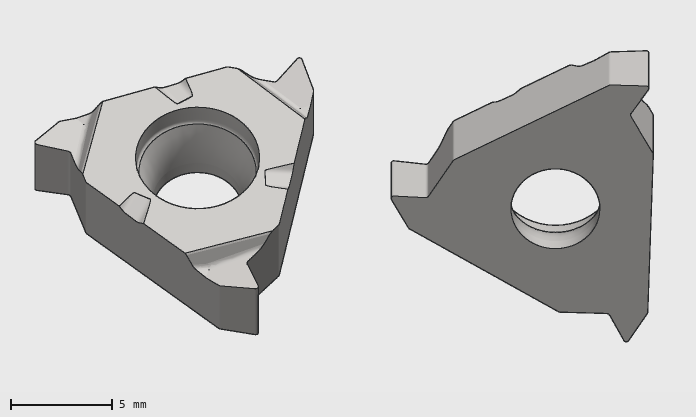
import cadquery as cq
import math

TEETH = 3
PITCH_ANGLE = 360 / TEETH
THICKNESS = 4.38

SIDE_DISTANCE = 4.75
SHOULDER_DISTANCE = 5.7
FLANK_DISTANCE = 6.91
TIP_REACH = 7.23
TIP_RADIUS = 0.14
ROOT_RADIUS = 0.18
CORNER_RADIUS = 0.23
OUTER_FLANK_ANGLE = math.radians(30)
INNER_FLANK_ANGLE = math.radians(28.5)

BORE_RADIUS = 4.4 / 2
SEAT_RADIUS = 3.07
SEAT_LOWER_RADIUS = 3.01
SEAT_DEPTH = 1.0
BELL_RADIUS = 2.9
BELL_START_DEPTH = 1.2
BELL_END_DEPTH = 3.58

VALLEY_Y = -1.45
GROOVE_START_X = 5.29
CHAMFER_WIDTH = 0.1
CHAMFER_DEPTH = 0.08
WALL_WIDTH = 0.38
WALL_DROP = 0.61
GROOVE_RADIUS = 0.31
RAKE_SLOPE = 0.125
FACET_SLOPE = -0.04
RAKE_RISE = 0.08
FACET_RISE = -0.16
WALL_YAW = 0.024
GROOVE_END_X = 9.19
GROOVE_HALF_LENGTH = 5.65
CLEARANCE = 1.41

DENT_FLOOR_WIDTH = 0.9
DENT_FLARE = 1.3
DENT_FLOOR_RADIUS = 0.48
DENT_YAW = 14.0
DENT_PITCH = 10.0
DENT_END = (-3.52, 0.54)
DENT_END_DEPTH = 0.03
DENT_LENGTH = 1.98


def rotate_point(point, angle):
    x, y = point
    c = math.cos(math.radians(angle))
    s = math.sin(math.radians(angle))
    return (x * c - y * s, x * s + y * c)


def repeat_around_bore(solid):
    """Copies of a cutter, one for each tooth."""
    return [solid.rotate((0, 0, 0), (0, 0, 1), i * PITCH_ANGLE) for i in range(TEETH)]


def make_body():
    tip_y = TIP_RADIUS - TIP_REACH
    outer_sin, outer_cos = math.sin(OUTER_FLANK_ANGLE), math.cos(OUTER_FLANK_ANGLE)
    inner_sin, inner_cos = math.sin(INNER_FLANK_ANGLE), math.cos(INNER_FLANK_ANGLE)
    tip_x = (TIP_RADIUS - FLANK_DISTANCE - tip_y * outer_sin) / outer_cos
    inner_distance = tip_x * inner_cos - tip_y * inner_sin + TIP_RADIUS

    apex_y = -(FLANK_DISTANCE * inner_cos + inner_distance * outer_cos) / math.sin(
        OUTER_FLANK_ANGLE + INNER_FLANK_ANGLE
    )
    apex_x = (inner_distance + apex_y * inner_sin) / inner_cos
    heel = (-SIDE_DISTANCE, (SIDE_DISTANCE * outer_cos - FLANK_DISTANCE) / outer_sin)
    apex = (apex_x, apex_y)
    root = ((inner_distance - SHOULDER_DISTANCE * inner_sin) / inner_cos, -SHOULDER_DISTANCE)
    next_side = math.radians(180 + PITCH_ANGLE)
    shoulder_x = (SIDE_DISTANCE + SHOULDER_DISTANCE * math.sin(next_side)) / math.cos(next_side)
    shoulder = (shoulder_x, -SHOULDER_DISTANCE)

    corners = [(heel, CORNER_RADIUS), (apex, TIP_RADIUS), (root, ROOT_RADIUS), (shoulder, CORNER_RADIUS)]
    outline = [
        rotate_point(point, i * PITCH_ANGLE) for i in range(TEETH) for point, _ in corners
    ]
    body = cq.Workplane("XY").polyline(outline).close().extrude(THICKNESS)
    for point, radius in corners:
        for i in range(TEETH):
            x, y = rotate_point(point, i * PITCH_ANGLE)
            edge = cq.selectors.NearestToPointSelector((x, y, THICKNESS / 2))
            body = body.edges("|Z").edges(edge).fillet(radius)
    return body


def make_bore():
    seat_z = THICKNESS - SEAT_DEPTH
    bell_top_z = THICKNESS - BELL_START_DEPTH
    bell_bottom_z = THICKNESS - BELL_END_DEPTH
    bell_profile = (
        cq.Workplane("XZ")
        .moveTo(0, 0)
        .lineTo(BORE_RADIUS, 0)
        .lineTo(BORE_RADIUS, bell_bottom_z)
        .tangentArcPoint((BELL_RADIUS, bell_top_z), relative=False)
        .lineTo(0, bell_top_z)
        .close()
    )
    seat_profile = (
        cq.Workplane("XZ")
        .moveTo(0, THICKNESS)
        .lineTo(SEAT_RADIUS, THICKNESS)
        .lineTo(SEAT_LOWER_RADIUS, seat_z)
        .tangentArcPoint((BELL_RADIUS, bell_top_z), relative=False)
        .lineTo(0, bell_top_z)
        .close()
    )
    bell = bell_profile.revolve(360, (0, 0, 0), (0, 1, 0))
    seat = seat_profile.revolve(360, (0, 0, 0), (0, 1, 0))
    return bell.union(seat)


def sweep_along(face, direction):
    """Extrude a groove section equally to both sides of the valley."""
    half = direction * GROOVE_HALF_LENGTH
    section = face.wires().val().translate(half * -1)
    return cq.Workplane(cq.Solid.extrudeLinear(section, [], half * 2))


def make_groove_run(floor_slope, rise):
    """One straight run of the groove, tilted along its length but always following the wall plane."""
    wall_angle = math.atan2(WALL_DROP, WALL_WIDTH)
    floor_angle = math.atan(floor_slope)
    wall_end = (
        GROOVE_START_X + CHAMFER_WIDTH + WALL_WIDTH,
        THICKNESS - CHAMFER_DEPTH - WALL_DROP,
    )
    arc_end = (
        wall_end[0] + GROOVE_RADIUS * (math.sin(wall_angle) + math.sin(floor_angle)),
        wall_end[1] + GROOVE_RADIUS * (math.cos(wall_angle) - math.cos(floor_angle)),
    )
    floor_end_z = arc_end[1] + (GROOVE_END_X - arc_end[0]) * floor_slope
    top_z = THICKNESS + CLEARANCE
    wall_reach = (top_z - wall_end[1]) * WALL_WIDTH / WALL_DROP

    drift = WALL_YAW - rise * WALL_WIDTH / WALL_DROP
    face = (
        cq.Workplane("XZ", origin=(0, VALLEY_Y, 0))
        .moveTo(wall_end[0] - wall_reach, top_z)
        .lineTo(*wall_end)
        .tangentArcPoint(arc_end, relative=False)
        .lineTo(GROOVE_END_X, floor_end_z)
        .lineTo(GROOVE_END_X, top_z)
        .close()
    )
    return sweep_along(face, cq.Vector(drift, 1, rise))


def make_groove_chamfer():
    """Even bevel along the top edge of the groove wall."""
    top_z = THICKNESS + CLEARANCE
    chamfer_reach = CLEARANCE * CHAMFER_WIDTH / CHAMFER_DEPTH
    chamfer_end = (GROOVE_START_X + CHAMFER_WIDTH, THICKNESS - CHAMFER_DEPTH)
    face = (
        cq.Workplane("XZ", origin=(0, VALLEY_Y, 0))
        .moveTo(GROOVE_START_X - chamfer_reach, top_z)
        .lineTo(*chamfer_end)
        .lineTo(GROOVE_END_X, chamfer_end[1])
        .lineTo(GROOVE_END_X, top_z)
        .close()
    )
    return sweep_along(face, cq.Vector(WALL_YAW, 1, 0))


def make_groove():
    rake = make_groove_run(RAKE_SLOPE, RAKE_RISE)
    facet = make_groove_run(FACET_SLOPE, FACET_RISE)
    return rake.intersect(facet)


def make_dent():
    half_floor = DENT_FLOOR_WIDTH / 2
    half_top = half_floor + CLEARANCE * DENT_FLARE
    dent = (
        cq.Workplane("YZ")
        .polyline([
            (-half_floor, 0),
            (half_floor, 0),
            (half_top, CLEARANCE),
            (-half_top, CLEARANCE),
        ])
        .close()
        .extrude(-DENT_LENGTH)
        .edges("|X and <Z")
        .fillet(DENT_FLOOR_RADIUS)
    )
    return (
        dent.rotate((0, 0, 0), (0, 1, 0), -DENT_PITCH)
        .rotate((0, 0, 0), (0, 0, 1), DENT_YAW)
        .translate((*DENT_END, THICKNESS - DENT_END_DEPTH))
    )


result = make_body().cut(make_bore())
for feature in (make_groove(), make_groove_chamfer(), make_dent()):
    for cutter in repeat_around_bore(feature):
        result = result.cut(cutter)